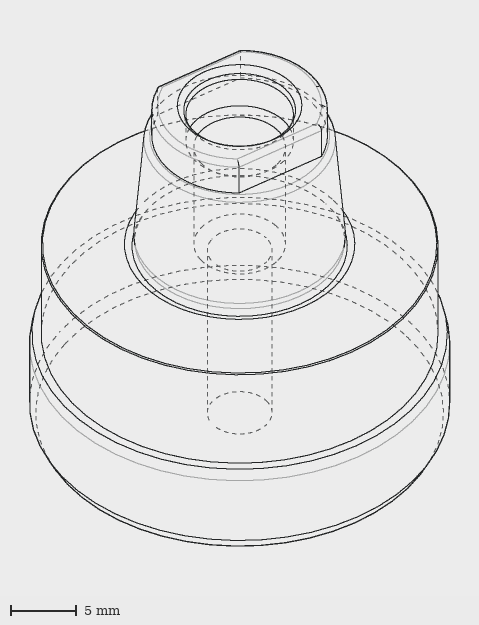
import cadquery as cq
import math

flange_radius = 16.0
flange_bottom_radius = 15.53
flange_top_radius = 15.82
flange_height = 8.0
flange_chamfer_height = 1.0

body_radius = 15.1
body_top = 17.0
body_edge_chamfer = 0.1

neck_foot_radius = 8.0
neck_foot_top = 17.42
foot_round = 1.0
neck_max_radius = 8.07
neck_top_radius = 7.27
neck_taper_start = 18.0
neck_top = 27.92
groove_outer_radius = 8.77
groove_inner_radius = 8.2
groove_depth = 0.2
edge_round = 0.45

total_height = 30.95
tip_radius = 6.7
flat_distance = 5.5

mouth_radius = 4.75
mouth_chamfer = 0.48
lead_in_height = 0.45
upper_bore_radius = 4.1
upper_bore_floor = 27.38
lower_bore_radius = 3.5
lower_bore_floor = body_top
through_radius = 2.45
drill_point_angle = 118.0


def make_base():
    """Flange, body and neck as one revolved outline, with a rounded upper neck edge."""
    base = (
        cq.Workplane("XZ")
        .lineTo(flange_bottom_radius, 0)
        .lineTo(flange_radius, flange_chamfer_height)
        .lineTo(flange_radius, flange_height - flange_chamfer_height)
        .lineTo(flange_top_radius, flange_height)
        .lineTo(body_radius, flange_height)
        .lineTo(body_radius, body_top - body_edge_chamfer)
        .lineTo(body_radius - body_edge_chamfer, body_top)
        .lineTo(groove_outer_radius, body_top)
        .lineTo(groove_inner_radius, body_top - groove_depth)
        .radiusArc((neck_foot_radius, neck_foot_top), foot_round)
        .lineTo(neck_max_radius, neck_taper_start)
        .lineTo(neck_top_radius, neck_top)
        .lineTo(0, neck_top)
        .close()
        .revolve(360, (0, 0, 0), (0, 1, 0))
    )
    return base.faces(">Z").edges().fillet(edge_round)


def make_tip():
    """Round tip cut by two flats that face -X and +X, with a rounded top edge."""
    tip_height = total_height - neck_top
    tip = cq.Workplane("XY").workplane(offset=neck_top).circle(tip_radius).extrude(tip_height)
    slab = cq.Workplane("XY").box(2 * flat_distance, 2 * tip_radius, 2 * total_height)
    return tip.intersect(slab).faces(">Z").edges().fillet(edge_round)


def make_bore():
    """Stepped hole with a chamfered mouth, a conical seat and a drill-point shoulder."""
    chamfer_radius = mouth_radius - mouth_chamfer
    chamfer_bottom = total_height - mouth_chamfer
    seat_height = upper_bore_radius - lower_bore_radius
    point_height = (lower_bore_radius - through_radius) / math.tan(math.radians(drill_point_angle / 2))
    outline = [
        (0, 0),
        (through_radius, 0),
        (through_radius, lower_bore_floor - point_height),
        (lower_bore_radius, lower_bore_floor),
        (lower_bore_radius, upper_bore_floor - seat_height),
        (upper_bore_radius, upper_bore_floor),
        (upper_bore_radius, chamfer_bottom - lead_in_height),
        (chamfer_radius, chamfer_bottom),
        (mouth_radius, total_height),
        (0, total_height),
    ]
    return cq.Workplane("XZ").polyline(outline).close().revolve(360, (0, 0, 0), (0, 1, 0))


result = make_base().union(make_tip()).cut(make_bore())